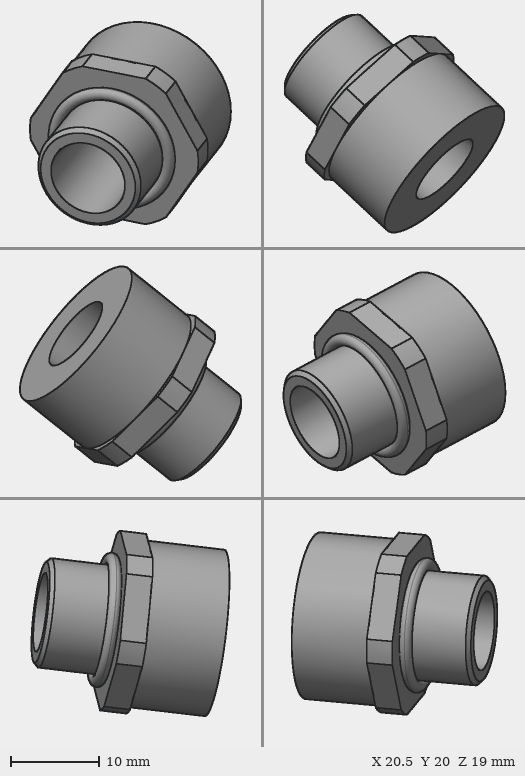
import cadquery as cq

corner_diameter = 20.5
across_flats = 19.0
body_diameter = across_flats
body_length = 9.0
hex_length = 3.0
spigot_diameter = 12.5
spigot_length = 8.01
spigot_chamfer = 0.5
bore_diameter = 9.0
ring_section = 1.43
ring_overlap = 0.02

total_length = body_length + hex_length + spigot_length
spigot_end = -total_length / 2
hex_front = spigot_end + spigot_length
hex_back = hex_front + hex_length


def cylinder(diameter, start, length):
    """Cylinder on the Y axis running from start toward +Y."""
    plane = cq.Plane(origin=(0, start, 0), xDir=(1, 0, 0), normal=(0, 1, 0))
    return cq.Workplane(plane).circle(diameter / 2).extrude(length)


def hex_collar():
    """Hexagon with flats facing +Z and -Z and corners turned to a circle."""
    plane = cq.Plane(origin=(0, hex_front, 0), xDir=(0, 0, 1), normal=(0, 1, 0))
    hexagon = cq.Workplane(plane).polygon(6, across_flats, circumscribed=True).extrude(hex_length)
    return hexagon.intersect(cylinder(corner_diameter, hex_front, hex_length))


def sealing_ring():
    """Round-section ring seated against the spigot and the hexagon face."""
    section_radius = ring_section / 2
    center_radius = spigot_diameter / 2 + section_radius - ring_overlap
    center_y = hex_front - section_radius + ring_overlap
    return (
        cq.Workplane("XY")
        .center(center_radius, center_y)
        .circle(section_radius)
        .revolve(360, (-center_radius, 0), (-center_radius, 1))
    )


body = cylinder(body_diameter, hex_back, body_length)
spigot = cylinder(spigot_diameter, spigot_end, spigot_length).faces("<Y").chamfer(spigot_chamfer)
bore = cylinder(bore_diameter, spigot_end, total_length)

result = body.union(hex_collar()).union(spigot).union(sealing_ring()).cut(bore)